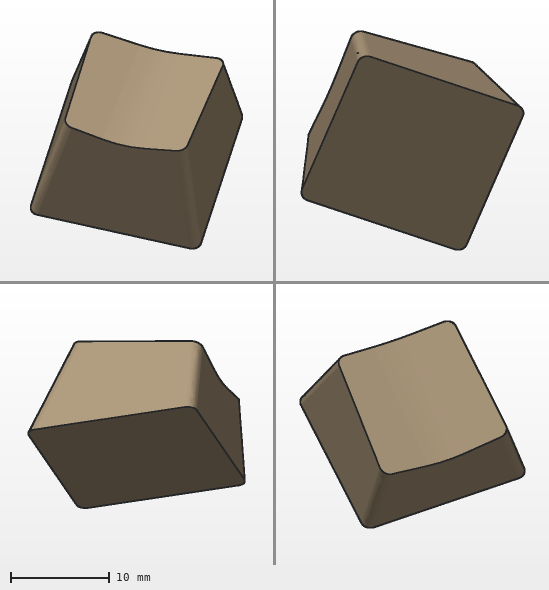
import cadquery as cq
import math

base_size = 18.0
half_base = base_size / 2
side_lean = 13.3
front_lean = 20.6
corner_radius = 1.0
blank_height = 13.5

flank_angle = 10.0
valley_slope = 10.5
crease_back_height = 7.25
valley_half_back = 2.07
valley_taper = 0.013
overhang = 1.8


def leaning_blank():
    """Tapered block with rounded corner edges between its walls."""
    side_inset = blank_height * math.tan(math.radians(side_lean))
    front_inset = blank_height * math.tan(math.radians(front_lean))
    top_width = base_size - 2 * side_inset
    top_length = base_size - front_inset
    blank = (
        cq.Workplane("XY")
        .rect(base_size, base_size)
        .workplane(offset=blank_height)
        .center(0, front_inset / 2)
        .rect(top_width, top_length)
        .loft(ruled=True)
    )
    return blank.edges("not(|X or |Y)").fillet(corner_radius)


def dish_section(y):
    """Closed outline of the space above the dish at one Y position."""
    run = half_base - y
    angle = math.radians(flank_angle)
    crease = crease_back_height + run * math.tan(math.radians(valley_slope))
    half_valley = valley_half_back + run * valley_taper
    valley_radius = half_valley / math.sin(angle)
    tangent_height = crease + half_valley * math.tan(angle)
    floor_height = tangent_height - valley_radius * (1 - math.cos(angle))
    reach = half_base + overhang
    rim_height = crease + reach * math.tan(angle)
    roof_height = blank_height + overhang
    outline = (
        cq.Workplane("XZ", origin=(0, y, 0))
        .moveTo(-reach, rim_height)
        .lineTo(-half_valley, tangent_height)
        .threePointArc((0, floor_height), (half_valley, tangent_height))
        .lineTo(reach, rim_height)
        .lineTo(reach, roof_height)
        .lineTo(-reach, roof_height)
        .close()
    )
    return outline.wire().val()


def dish_cutter():
    """Straight-sided loft from behind the part to ahead of it."""
    reach = half_base + overhang
    return cq.Solid.makeLoft([dish_section(reach), dish_section(-reach)], True)


result = leaning_blank().cut(cq.Workplane(obj=dish_cutter()))